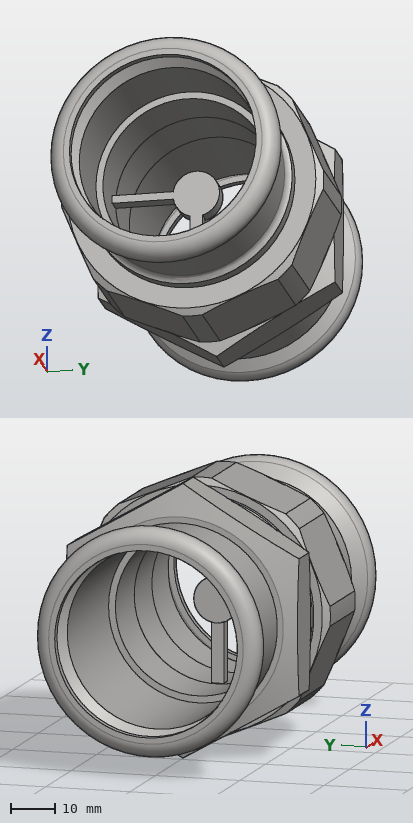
import cadquery as cq
import math

LENGTH = 95.0

BEAD_RADIUS = 3.6
BEAD_CENTRE_RADIUS = 23.1
GROOVE_RADIUS = 1.8
MOUTH_RADIUS = 43.3 / 2
LIP_THICKNESS = BEAD_RADIUS - GROOVE_RADIUS
SOCKET_RADIUS = 42.3 / 2
BORE_RADIUS = 39.0 / 2

BODY_TUBE_RADIUS = 46.0 / 2
BODY_BEAD_END = 8.1
BODY_SOCKET_DEPTH = 40.4
HEX_START = 27.0
HEX_END = 38.1
HEX_ACROSS_CORNERS = 63.6
HEX_FRONT_RADIUS = 24.4
HEX_FRONT_CHAMFER = 2.0
HEX_BACK_RADIUS = 27.2
HEX_BACK_CHAMFER = 1.2
NECK_RADIUS = 49.8 / 2
COLLAR_START = BODY_SOCKET_DEPTH
COLLAR_RADIUS = 53.8 / 2
COLLAR_CHAMFER_LENGTH = 1.1
THREAD_RADIUS = 50.8 / 2

NUT_START = 42.75
NUT_END = 63.9
NUT_OUTER_RADIUS = 61.0 / 2
NUT_APOTHEM = 29.0
NUT_FACE_RADIUS = 28.9
NUT_CHAMFER_LENGTH = 0.95

JOINT_X = 55.1
SHOULDER_X = 58.9
SHANK_RADIUS = 48.1 / 2
SHANK_END = 67.0
TAIL_FILLET_END = 68.9
TAIL_TUBE_RADIUS = 45.4 / 2

GUIDE_RADIUS = 5.4
SIDE_ARM_THICKNESS = 1.8
LOWER_ARM_THICKNESS = 2.9
LOWER_ARM_SETBACK = 0.95
ARM_EMBED = 0.5

DIAGONAL = math.sqrt(0.5)


def revolve_about_x(outline):
    """Close an (x, radius) outline and turn it about the X axis."""
    return outline.close().revolve(360, (0, 0, 0), (1, 0, 0))


def cylinder(radius, start, end):
    return cq.Workplane("YZ", origin=(start, 0, 0)).circle(radius).extrude(end - start)


def ring_of_corners(sides, across_corners, start, end):
    """Regular prism along X with one corner at the top."""
    prism = cq.Workplane("YZ", origin=(start, 0, 0)).polygon(sides, across_corners).extrude(end - start)
    return prism.rotate((0, 0, 0), (1, 0, 0), 90)


def bead_arc(outline, radius):
    """Add the arc over the bead, from its end side to a 45 degree tangent."""
    top = (BEAD_RADIUS, BEAD_CENTRE_RADIUS + radius)
    tangent = (BEAD_RADIUS + radius * DIAGONAL, BEAD_CENTRE_RADIUS + radius * DIAGONAL)
    return outline.threePointArc(top, tangent)


def press_end(tube_radius, bead_end, tube_end):
    """Beaded tube with its open mouth at X = 0."""
    outside = cq.Workplane("XY").lineTo(0, BEAD_CENTRE_RADIUS)
    outside = bead_arc(outside, BEAD_RADIUS)
    outside = outside.lineTo(bead_end, tube_radius).lineTo(tube_end, tube_radius).lineTo(tube_end, 0)

    groove_end = BEAD_RADIUS + BEAD_CENTRE_RADIUS - SOCKET_RADIUS + 2 * GROOVE_RADIUS * DIAGONAL
    inside = cq.Workplane("XY").lineTo(0, MOUTH_RADIUS).lineTo(LIP_THICKNESS, MOUTH_RADIUS)
    inside = inside.lineTo(LIP_THICKNESS, BEAD_CENTRE_RADIUS)
    inside = bead_arc(inside, GROOVE_RADIUS)
    inside = inside.lineTo(groove_end, SOCKET_RADIUS).lineTo(tube_end, SOCKET_RADIUS).lineTo(tube_end, 0)

    return revolve_about_x(outside).cut(revolve_about_x(inside))


def chamfered_hexagon():
    corner_radius = HEX_ACROSS_CORNERS / 2
    envelope = revolve_about_x(
        cq.Workplane("XY")
        .moveTo(HEX_START, 0)
        .lineTo(HEX_START, HEX_FRONT_RADIUS)
        .lineTo(HEX_START + HEX_FRONT_CHAMFER, corner_radius)
        .lineTo(HEX_END - HEX_BACK_CHAMFER, corner_radius)
        .lineTo(HEX_END, HEX_BACK_RADIUS)
        .lineTo(HEX_END, 0)
    )
    return ring_of_corners(6, HEX_ACROSS_CORNERS, HEX_START, HEX_END).intersect(envelope)


def make_hexagon_body():
    collar = revolve_about_x(
        cq.Workplane("XY")
        .moveTo(COLLAR_START, 0)
        .lineTo(COLLAR_START, THREAD_RADIUS)
        .lineTo(COLLAR_START + COLLAR_CHAMFER_LENGTH, COLLAR_RADIUS)
        .lineTo(NUT_START, COLLAR_RADIUS)
        .lineTo(NUT_START, 0)
    )
    core = (
        chamfered_hexagon()
        .union(cylinder(NECK_RADIUS, HEX_END, COLLAR_START))
        .union(collar)
        .union(cylinder(THREAD_RADIUS, NUT_START, JOINT_X))
        .cut(cylinder(SOCKET_RADIUS, HEX_START, BODY_SOCKET_DEPTH))
        .cut(cylinder(BORE_RADIUS, BODY_SOCKET_DEPTH, JOINT_X))
    )
    return core.union(press_end(BODY_TUBE_RADIUS, BODY_BEAD_END, HEX_START))


def make_nut():
    envelope = revolve_about_x(
        cq.Workplane("XY")
        .moveTo(NUT_START, 0)
        .lineTo(NUT_START, NUT_FACE_RADIUS)
        .lineTo(NUT_START + NUT_CHAMFER_LENGTH, NUT_OUTER_RADIUS)
        .lineTo(NUT_END - NUT_CHAMFER_LENGTH, NUT_OUTER_RADIUS)
        .lineTo(NUT_END, NUT_FACE_RADIUS)
        .lineTo(NUT_END, 0)
    )
    across_corners = 2 * NUT_APOTHEM / math.cos(math.pi / 8)
    return (
        ring_of_corners(8, across_corners, NUT_START, NUT_END)
        .intersect(envelope)
        .cut(cylinder(THREAD_RADIUS, NUT_START, SHOULDER_X))
        .cut(cylinder(SHANK_RADIUS, SHOULDER_X, NUT_END))
    )


def flow_guide():
    """Central disc carried by one arm toward -Y and one, set back, toward -Z."""
    depth = SHOULDER_X - JOINT_X
    middle_x = (JOINT_X + SHOULDER_X) / 2
    arm_length = BORE_RADIUS + ARM_EMBED
    side_arm = cq.Workplane("XY").box(depth, arm_length, SIDE_ARM_THICKNESS)
    lower_arm = cq.Workplane("XY").box(depth - LOWER_ARM_SETBACK, LOWER_ARM_THICKNESS, arm_length)
    return (
        cylinder(GUIDE_RADIUS, JOINT_X, SHOULDER_X)
        .union(side_arm.translate((middle_x, -arm_length / 2, 0)))
        .union(lower_arm.translate((middle_x + LOWER_ARM_SETBACK / 2, 0, -arm_length / 2)))
    )


def make_tail():
    fillet_length = TAIL_FILLET_END - SHANK_END
    fillet_height = SHANK_RADIUS - TAIL_TUBE_RADIUS
    fillet_radius = (fillet_length**2 + fillet_height**2) / (2 * fillet_height)
    shank = revolve_about_x(
        cq.Workplane("XY")
        .moveTo(JOINT_X, 0)
        .lineTo(JOINT_X, THREAD_RADIUS)
        .lineTo(SHOULDER_X, THREAD_RADIUS)
        .lineTo(SHOULDER_X, SHANK_RADIUS)
        .lineTo(SHANK_END, SHANK_RADIUS)
        .radiusArc((TAIL_FILLET_END, TAIL_TUBE_RADIUS), -fillet_radius)
        .lineTo(TAIL_FILLET_END, 0)
    ).cut(cylinder(BORE_RADIUS, JOINT_X, TAIL_FILLET_END))

    bead_end = BEAD_RADIUS + BEAD_CENTRE_RADIUS - TAIL_TUBE_RADIUS + 2 * BEAD_RADIUS * DIAGONAL
    tube = press_end(TAIL_TUBE_RADIUS, bead_end, LENGTH - TAIL_FILLET_END)
    tube = tube.rotate((0, 0, 0), (0, 0, 1), 180).translate((LENGTH, 0, 0))
    return shank.union(tube).union(flow_guide())


hexagon_body = make_hexagon_body()
nut = make_nut()
tail = make_tail()

result = cq.Compound.makeCompound([hexagon_body.val(), nut.val(), tail.val()])